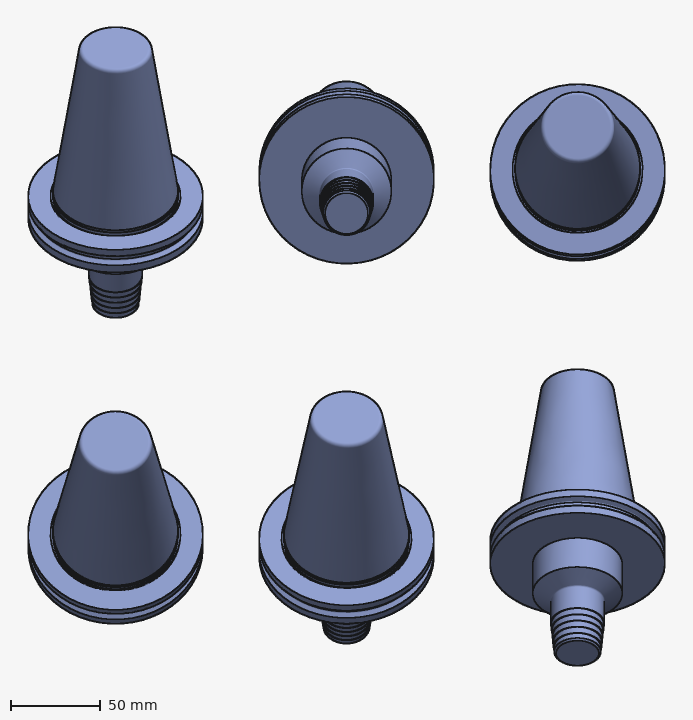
import cadquery as cq
import math

total_height = 182.2
gauge_radius = 35.0
gauge_height = 80.7
taper_on_diameter = 7 / 24
taper_tip_radius = gauge_radius - (total_height - gauge_height) * taper_on_diameter / 2
taper_tip_fillet = 2.4

collar_undercut_top = 80.4
collar_undercut_bottom = 78.7
collar_undercut_depth = 0.27
relief_outer_radius = 36.3
relief_depth = 1.0

flange_radius = 48.75
flange_top = 77.5
flange_bottom = 61.5
groove_center = 69.6
groove_width = 6.4
groove_floor_radius = 46.0
groove_wall_angle = 30.0
groove_fillet = 1.0
groove_wall_rise = (flange_radius - groove_floor_radius) * math.tan(math.radians(groove_wall_angle))
groove_floor_width = groove_width - 2 * groove_wall_rise

body_radius = 25.0
body_bottom = 41.4
nose_radius = 15.0
shoulder_angle = 30.0
shoulder_fillet = 1.0
shoulder_bottom = body_bottom - (body_radius - nose_radius) * math.tan(math.radians(shoulder_angle))

nose_steps_top = 20.5
nose_step_height = 4.0
nose_step_inset = 0.38
nose_step_count = 5
nose_tip_radius = nose_radius - nose_step_count * nose_step_inset
nose_tip_chamfer = 1.1


def circle_edge(radius, height):
    """Selector for the circular edge at the given radius and height."""
    margin = 0.1
    return cq.selectors.BoxSelector(
        (-radius - margin, -radius - margin, height - margin),
        (radius + margin, radius + margin, height + margin),
        boundingbox=True,
    )


def make_blank():
    """Revolve the stepped outline of the whole holder about Z."""
    outline = [
        (0, 0),
        (nose_tip_radius - nose_tip_chamfer, 0),
        (nose_tip_radius, nose_tip_chamfer),
    ]
    for step in reversed(range(nose_step_count)):
        height = nose_steps_top - step * nose_step_height
        outer_radius = nose_radius - step * nose_step_inset
        outline.append((outer_radius - nose_step_inset, height))
        outline.append((outer_radius, height))
    outline += [
        (nose_radius, shoulder_bottom),
        (body_radius, body_bottom),
        (body_radius, flange_bottom),
        (flange_radius, flange_bottom),
        (flange_radius, groove_center - groove_width / 2),
        (groove_floor_radius, groove_center - groove_floor_width / 2),
        (groove_floor_radius, groove_center + groove_floor_width / 2),
        (flange_radius, groove_center + groove_width / 2),
        (flange_radius, flange_top),
        (relief_outer_radius, flange_top),
        (relief_outer_radius, flange_top - relief_depth),
        (gauge_radius, flange_top - relief_depth),
        (gauge_radius, collar_undercut_bottom),
        (gauge_radius - collar_undercut_depth, collar_undercut_bottom),
        (gauge_radius - collar_undercut_depth, collar_undercut_top),
        (gauge_radius, collar_undercut_top),
        (gauge_radius, gauge_height),
        (taper_tip_radius, total_height),
        (0, total_height),
    ]
    return cq.Workplane("XZ").polyline(outline).close().revolve(360, (0, 0), (0, 1))


result = make_blank()
result = result.edges(circle_edge(taper_tip_radius, total_height)).fillet(taper_tip_fillet)
result = result.edges(circle_edge(nose_radius, shoulder_bottom)).fillet(shoulder_fillet)
for side in (-1, 1):
    floor_corner = groove_center + side * groove_floor_width / 2
    result = result.edges(circle_edge(groove_floor_radius, floor_corner)).fillet(groove_fillet)